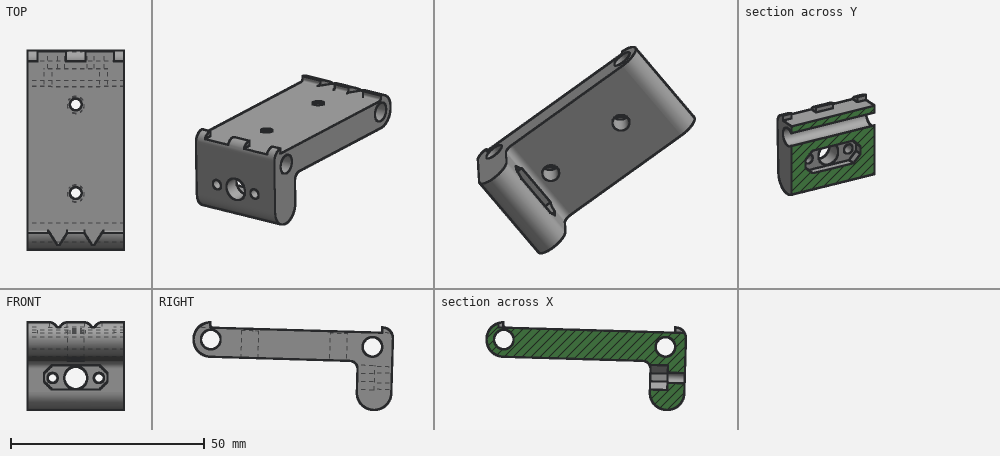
import cadquery as cq
import math

TILT = 1.7

WIDTH = 25.0
END_RADIUS = 4.5
FLOOR_HEIGHT = 3.1
FRONT_LIP_Y = -0.2
LIP_FILLET = 0.6
LEG_CENTER_Y = 42.65
LEG_CENTER_Z = -12.5
REAR_LIP_RADIUS = 2.9
INNER_CORNER_RADIUS = 1.95

PIVOT_DIAMETER = 5.0
REAR_PIVOT = (41.85, -0.65)

SIDE_LUG_WIDTH = 2.65
MIDDLE_LUG_WIDTH = 5.05
NOTCH_X = 4.5
NOTCH_TIP_Y = -3.5
NOTCH_TIP_HALF_WIDTH = 0.15
NOTCH_HALF_WIDTH = 2.25
NOTCH_MOUTH_HALF_WIDTH = 2.7

SCREW_DIAMETER = 3.0
SCREW_Y = (10.15, 33.1)
SCREW_HEAD_DIAMETER = 4.4
SCREW_FLOOR_THICKNESS = 0.5

POCKET_Z = -8.65
POCKET_WIDTH = 16.5
POCKET_HEIGHT = 6.3
POCKET_CORNER = 2.1
POCKET_DEPTH = END_RADIUS
CENTER_HOLE_DIAMETER = 5.9
SIDE_HOLE_DIAMETER = 2.6
SIDE_HOLE_X = 6.0

FRONT_PIVOT_Y = END_RADIUS - 25.85
FRONT_PIVOT_Z = 11.35 - END_RADIUS

LEG_FRONT_Y = LEG_CENTER_Y - END_RADIUS
LEG_BACK_Y = LEG_CENTER_Y + END_RADIUS
REAR_LIP_Y = LEG_BACK_Y - REAR_LIP_RADIUS
LIP_HEIGHT = END_RADIUS - FLOOR_HEIGHT
DIAGONAL = math.sqrt(0.5)


def make_body():
    """L-shaped side profile with both lips, extruded across the width."""
    lip_arc_z = END_RADIUS - REAR_LIP_RADIUS
    lip_top_z = math.sqrt(END_RADIUS**2 - FRONT_LIP_Y**2)
    fillet_mid = LIP_FILLET * (1 - DIAGONAL)
    corner_mid = INNER_CORNER_RADIUS * (1 - DIAGONAL)
    return (
        cq.Workplane("YZ")
        .moveTo(FRONT_LIP_Y, lip_top_z)
        .threePointArc((-END_RADIUS, 0), (0, -END_RADIUS))
        .lineTo(LEG_FRONT_Y - INNER_CORNER_RADIUS, -END_RADIUS)
        .threePointArc(
            (LEG_FRONT_Y - corner_mid, -END_RADIUS - corner_mid),
            (LEG_FRONT_Y, -END_RADIUS - INNER_CORNER_RADIUS),
        )
        .lineTo(LEG_FRONT_Y, LEG_CENTER_Z)
        .threePointArc((LEG_CENTER_Y, LEG_CENTER_Z - END_RADIUS), (LEG_BACK_Y, LEG_CENTER_Z))
        .lineTo(LEG_BACK_Y, lip_arc_z)
        .threePointArc(
            (REAR_LIP_Y + REAR_LIP_RADIUS * DIAGONAL, lip_arc_z + REAR_LIP_RADIUS * DIAGONAL),
            (REAR_LIP_Y, END_RADIUS),
        )
        .lineTo(REAR_LIP_Y, FLOOR_HEIGHT)
        .lineTo(FRONT_LIP_Y + LIP_FILLET, FLOOR_HEIGHT)
        .threePointArc(
            (FRONT_LIP_Y + fillet_mid, FLOOR_HEIGHT + fillet_mid),
            (FRONT_LIP_Y, FLOOR_HEIGHT + LIP_FILLET),
        )
        .close()
        .extrude(WIDTH / 2, both=True)
    )


def pivot_holes():
    return (
        cq.Workplane("YZ")
        .pushPoints([(0, 0), REAR_PIVOT])
        .circle(PIVOT_DIAMETER / 2)
        .extrude(WIDTH / 2, both=True)
    )


def rear_lip_gaps():
    """Gaps that split the rear lip into three lugs."""
    gap_width = (WIDTH - MIDDLE_LUG_WIDTH) / 2 - SIDE_LUG_WIDTH
    gap_x = (MIDDLE_LUG_WIDTH + gap_width) / 2
    return (
        cq.Workplane("XY", origin=(0, REAR_LIP_Y + REAR_LIP_RADIUS / 2, FLOOR_HEIGHT))
        .pushPoints([(-gap_x, 0), (gap_x, 0)])
        .rect(gap_width, REAR_LIP_RADIUS)
        .extrude(LIP_HEIGHT)
    )


def front_lip_notch(side):
    """V notch in the front lip; its outer flank also runs through the lip fillet."""
    outline = [
        (-NOTCH_TIP_HALF_WIDTH, NOTCH_TIP_Y),
        (NOTCH_TIP_HALF_WIDTH, NOTCH_TIP_Y),
        (NOTCH_HALF_WIDTH, FRONT_LIP_Y),
        (NOTCH_MOUTH_HALF_WIDTH, FRONT_LIP_Y + LIP_FILLET),
        (-NOTCH_HALF_WIDTH, FRONT_LIP_Y + LIP_FILLET),
        (-NOTCH_HALF_WIDTH, FRONT_LIP_Y),
    ]
    points = [(side * (NOTCH_X + x), y) for x, y in outline]
    return cq.Workplane("XY", origin=(0, 0, FLOOR_HEIGHT)).polyline(points).close().extrude(LIP_HEIGHT)


def screw_holes():
    """Through holes in the arm, counterbored from below."""
    points = [(0, y) for y in SCREW_Y]
    head_depth = END_RADIUS + FLOOR_HEIGHT - SCREW_FLOOR_THICKNESS
    underside = cq.Workplane("XY", origin=(0, 0, -END_RADIUS)).pushPoints(points)
    shanks = underside.circle(SCREW_DIAMETER / 2).extrude(END_RADIUS + FLOOR_HEIGHT)
    heads = underside.circle(SCREW_HEAD_DIAMETER / 2).extrude(head_depth)
    return shanks.union(heads)


def leg_pocket():
    """Chamfered rectangular pocket in the front of the leg, cut through the inner corner round."""
    front_y = LEG_FRONT_Y - INNER_CORNER_RADIUS
    return (
        cq.Workplane("XY")
        .box(POCKET_WIDTH, POCKET_DEPTH + INNER_CORNER_RADIUS, POCKET_HEIGHT, centered=(True, False, True))
        .edges("|Y")
        .chamfer(POCKET_CORNER)
        .translate((0, front_y, POCKET_Z))
    )


def leg_holes():
    leg_face = cq.Workplane("XZ", origin=(0, LEG_BACK_Y, POCKET_Z))
    center_hole = leg_face.circle(CENTER_HOLE_DIAMETER / 2).extrude(2 * END_RADIUS)
    side_holes = (
        leg_face.pushPoints([(-SIDE_HOLE_X, 0), (SIDE_HOLE_X, 0)])
        .circle(SIDE_HOLE_DIAMETER / 2)
        .extrude(2 * END_RADIUS)
    )
    return center_hole.union(side_holes)


level_part = (
    make_body()
    .cut(pivot_holes())
    .cut(rear_lip_gaps())
    .cut(front_lip_notch(-1))
    .cut(front_lip_notch(1))
    .cut(screw_holes())
    .cut(leg_pocket())
    .cut(leg_holes())
)

result = level_part.rotate((0, 0, 0), (1, 0, 0), -TILT).translate((0, FRONT_PIVOT_Y, FRONT_PIVOT_Z))